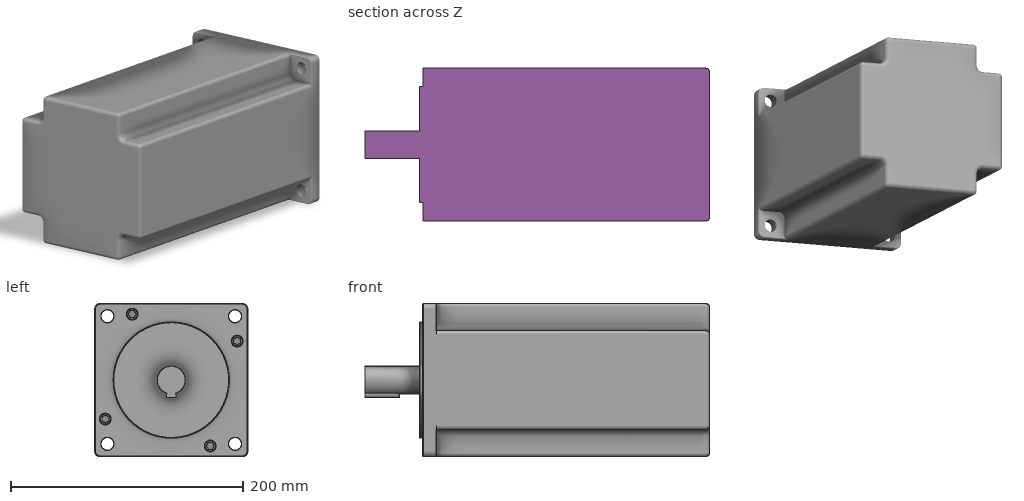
import cadquery as cq

total_length = 297.0
shaft_length = 47.0
pilot_height = 3.0
flange_front = shaft_length + pilot_height
flange_thickness = 12.0
body_front = flange_front + flange_thickness

side = 132.0
flange_corner_radius = 4.8
rim_chamfer = 0.5
notch_size = 23.5
notch_fillet = 5.3
body_edge_fillet = 3.0
rear_edge_fillet = 3.3

mount_spacing = 110.0
mount_diameter = 11.0
screw_count = 4
screw_near = 33.5
screw_far = 56.7
screw_recess_diameter = 10.0
screw_recess_floor_diameter = 9.0
screw_recess_depth = 0.5
socket_sides = 6
socket_width = 6.0
socket_depth = 1.8

pilot_diameter = 100.0
shaft_diameter = 24.0
key_width = 8.0
key_length = 30.0
key_reach = 15.0
key_end_radius = 3.0


def section_at(x):
    """YZ workplane at a distance x from the shaft tip, extruding toward +X."""
    return cq.Workplane("YZ", origin=(x, 0, 0))


def square_corners(x, spacing):
    """The section at x with the four corners of a centred square selected."""
    return section_at(x).rect(spacing, spacing, forConstruction=True).vertices()


def make_body():
    """Square bar with a filleted step along each corner and a rounded rear rim."""
    length = total_length - body_front
    bar = section_at(body_front).rect(side, side).extrude(length)
    notches = square_corners(body_front, side).rect(2 * notch_size, 2 * notch_size).extrude(length)
    bar = bar.cut(notches)

    core = side - notch_size
    step_edges = cq.selectors.BoxSelector(
        (0, -core / 2, -core / 2), (total_length, core / 2, core / 2)
    )
    rim_edges = cq.selectors.SubtractSelector(cq.selectors.StringSyntaxSelector("|X"), step_edges)
    bar = bar.edges(rim_edges).fillet(body_edge_fillet)
    bar = bar.edges("|X").edges(step_edges).fillet(notch_fillet)
    return bar.faces(">X").edges().fillet(rear_edge_fillet)


def make_flange():
    """Square flange with chamfered rims; the flat body sides run flush into its rear rim."""
    flange = section_at(flange_front).rect(side, side).extrude(flange_thickness)
    flange = flange.edges("|X").fillet(flange_corner_radius)
    flange = flange.faces("<X or >X").edges().chamfer(rim_chamfer)
    holes = (
        square_corners(flange_front, mount_spacing)
        .circle(mount_diameter / 2)
        .extrude(flange_thickness)
    )

    arm_width = side - 2 * notch_size
    fill_start = body_front - rim_chamfer
    for width, height in ((side, arm_width), (arm_width, side)):
        flange = flange.union(section_at(fill_start).rect(width, height).extrude(rim_chamfer))
    return flange.cut(holes)


def make_pilot():
    pilot = section_at(shaft_length).circle(pilot_diameter / 2).extrude(pilot_height)
    return pilot.faces("<X").edges().chamfer(rim_chamfer)


def make_shaft():
    """Shaft with a key along its lower side, rounded at the inner end."""
    shaft = section_at(0).circle(shaft_diameter / 2).extrude(flange_front)
    key = cq.Workplane("XY").box(key_length, key_width, key_reach, centered=(False, True, False))
    key = key.translate((0, 0, -key_reach))
    key = key.edges("|Z and >X").fillet(key_end_radius)
    return shaft.union(key)


def make_screw_recess():
    """Shallow flared recess over one screw head, with a hexagon socket in its floor."""
    recess = (
        section_at(flange_front)
        .center(screw_far, -screw_near)
        .circle(screw_recess_diameter / 2)
        .workplane(offset=screw_recess_depth)
        .circle(screw_recess_floor_diameter / 2)
        .loft()
    )
    socket = (
        section_at(flange_front)
        .center(screw_far, -screw_near)
        .polygon(socket_sides, socket_width, circumscribed=True)
        .extrude(screw_recess_depth + socket_depth)
    )
    return recess.union(socket)


result = make_body().union(make_flange()).union(make_pilot()).union(make_shaft())

screw_recess = make_screw_recess()
for screw in range(screw_count):
    angle = 360 / screw_count * screw
    result = result.cut(screw_recess.rotate((0, 0, 0), (1, 0, 0), angle))